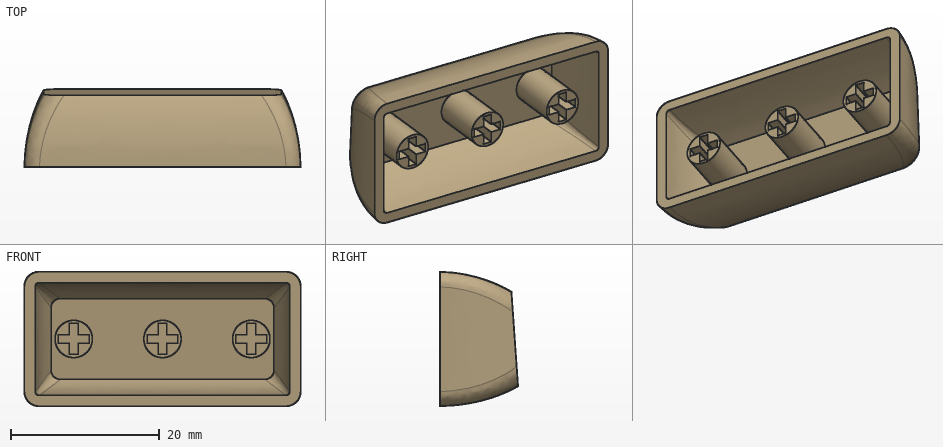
import cadquery as cq
import math

CAP_WIDTH = 37.15
CAP_HEIGHT = 18.1
CAP_DEPTH = 10.5
CAP_CORNER_RADIUS = 2.0
BACK_WIDTH = 31.95
BACK_HEIGHT = 12.7
BACK_CORNER_RADIUS = 2.67
BACK_TILT = 4.0

WALL = 1.5
BACK_WALL = 1.5
CAVITY_WIDTH = CAP_WIDTH - 2 * WALL
CAVITY_HEIGHT = CAP_HEIGHT - 2 * WALL
CAVITY_CORNER_RADIUS = CAP_CORNER_RADIUS - WALL
FLOOR_WIDTH = 29.95
FLOOR_HEIGHT = 10.85
FLOOR_CORNER_RADIUS = 1.23

STEM_COUNT = 3
STEM_PITCH = 11.93
STEM_DIAMETER = 5.0
STEM_RECESS = 1.0
CROSS_LENGTH = 4.15
CROSS_SLOT = 1.2
CROSS_DEPTH = 3.7

BACK_DEPTH = CAP_DEPTH - BACK_HEIGHT / 2 * math.sin(math.radians(BACK_TILT))
FLOOR_DEPTH = BACK_DEPTH - BACK_WALL

LOFT_STEPS = (0, 0.5, 1)


def upright_plane(y, tilt=0.0):
    """Plane at depth y whose normal points to +Y, tilted about X so that its top leans forward."""
    return cq.Plane((0, y, 0), (-1, 0, 0), (0, 1, 0)).rotated((-tilt, 0, 0))


def curved_taper(front, back, depth):
    """Solid between two rounded rectangles, each given as (width, height, corner radius).

    The sizes change along a parabola, so the sides leave the front square to it. The section
    planes turn step by step to the tilt of the back.
    """
    sections = []
    for step in LOFT_STEPS:
        width, height, radius = (a + (b - a) * step**2 for a, b in zip(front, back))
        plane = upright_plane(depth * step, BACK_TILT * step)
        outline = cq.Workplane(plane).rect(width, height).val()
        sections.append(outline.fillet2D(radius, outline.Vertices()))
    return cq.Workplane(cq.Solid.makeLoft(sections))


def make_cavity():
    """Space inside the cap, from the front rim to the tilted floor."""
    return curved_taper(
        (CAVITY_WIDTH, CAVITY_HEIGHT, CAVITY_CORNER_RADIUS),
        (FLOOR_WIDTH, FLOOR_HEIGHT, FLOOR_CORNER_RADIUS),
        FLOOR_DEPTH,
    )


def make_cap(cavity):
    """Tapered shell with the cavity cut out of it."""
    body = curved_taper(
        (CAP_WIDTH, CAP_HEIGHT, CAP_CORNER_RADIUS),
        (BACK_WIDTH, BACK_HEIGHT, BACK_CORNER_RADIUS),
        BACK_DEPTH,
    )
    return body.cut(cavity)


def make_stem(x, cavity):
    """Post from the recessed front end to the tilted cavity floor, with its cross socket."""
    start = cq.Workplane(upright_plane(STEM_RECESS)).center(-x, 0)
    post = start.circle(STEM_DIAMETER / 2).extrude(CAP_DEPTH).intersect(cavity)
    socket = start.rect(CROSS_LENGTH, CROSS_SLOT).extrude(CROSS_DEPTH)
    socket = socket.union(start.rect(CROSS_SLOT, CROSS_LENGTH).extrude(CROSS_DEPTH))
    return post.cut(socket)


cavity = make_cavity()
cap = make_cap(cavity)
stems = []
for index in range(STEM_COUNT):
    x = (index - (STEM_COUNT - 1) / 2) * STEM_PITCH
    stems.append(make_stem(x, cavity))

result = cq.Compound.makeCompound([cap.val(), *[stem.val() for stem in stems]])